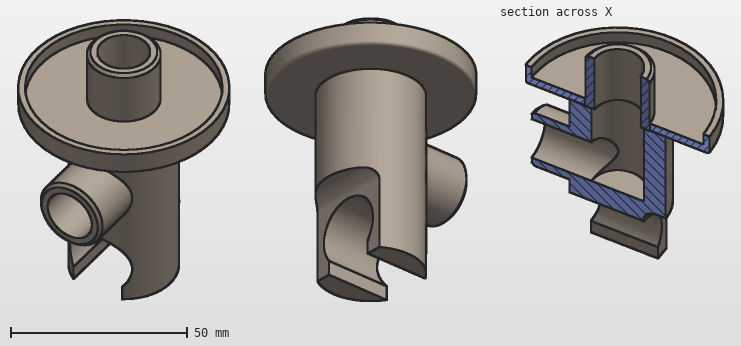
import cadquery as cq

body_diameter = 31.5
body_length = 58.0

pipe_diameter = 21.0
pipe_bore = 15.0
pipe_chamfer = 1.0
inlet_length = 20.0
outlet_drop = 21.0
outlet_reach = 28.0

chamber_diameter = 17.0
chamber_depth = outlet_drop + pipe_bore / 2

flange_diameter = 60.0
flange_height = 7.0
flange_rim = 2.0
flange_floor = 3.0
flange_edge_radius = 1.0

holder_bore = 21.0
holder_drop = 47.0
holder_slot = 16.5
relief_face = 8.5
relief_height = 26.0
relief_radius = 4.0


def make_flange():
    """Shallow dish with a rounded lower edge and a hole for the inlet pipe."""
    dish = cq.Workplane("XY").circle(flange_diameter / 2).extrude(flange_height)
    dish = dish.faces("<Z").edges().fillet(flange_edge_radius)
    recess = (
        cq.Workplane("XY")
        .workplane(offset=flange_floor)
        .circle(flange_diameter / 2 - flange_rim)
        .extrude(flange_height)
    )
    pipe_hole = cq.Workplane("XY").circle(pipe_diameter / 2).extrude(flange_height)
    return dish.cut(recess).cut(pipe_hole)


def cut_holder(body):
    """Cut the open-bottomed cradle and the rear relief."""
    cradle = (
        cq.Workplane("XZ")
        .center(0, -holder_drop)
        .circle(holder_bore / 2)
        .extrude(body_diameter, both=True)
    )
    slot_height = body_length - holder_drop
    slot = (
        cq.Workplane("XY")
        .workplane(offset=-body_length)
        .rect(holder_slot, 2 * body_diameter)
        .extrude(slot_height)
    )
    relief = (
        cq.Workplane("XY")
        .box(2 * body_diameter, body_diameter, relief_height, centered=(True, False, False))
        .translate((0, relief_face, -body_length))
        .edges("|X and <Y and >Z")
        .fillet(relief_radius)
    )
    return body.cut(cradle).cut(slot).cut(relief)


def make_side_cylinder(diameter):
    """Horizontal cylinder on the outlet axis, from the body axis to the outlet mouth."""
    axis_plane = cq.Workplane("XZ").center(0, -outlet_drop)
    return axis_plane.circle(diameter / 2).extrude(outlet_reach)


def make_body():
    """Upright cylinder with a water chamber, the side outlet and the holder."""
    body = cq.Workplane("XY").circle(body_diameter / 2).extrude(-body_length)
    body = cut_holder(body)
    outlet = make_side_cylinder(pipe_diameter).faces("<Y").edges().chamfer(pipe_chamfer)
    chamber = cq.Workplane("XY").circle(chamber_diameter / 2).extrude(-chamber_depth)
    return body.union(outlet).cut(chamber).cut(make_side_cylinder(pipe_bore))


def make_inlet():
    """Chamfered pipe standing on the body, around the open top of the chamber."""
    pipe = cq.Workplane("XY").circle(pipe_diameter / 2).extrude(inlet_length)
    pipe = pipe.faces(">Z").edges().chamfer(pipe_chamfer)
    bore = cq.Workplane("XY").circle(pipe_bore / 2).extrude(inlet_length)
    return pipe.cut(bore)


flange = make_flange()
body = make_body()
inlet = make_inlet()
result = cq.Compound.makeCompound([flange.val(), body.val(), inlet.val()])